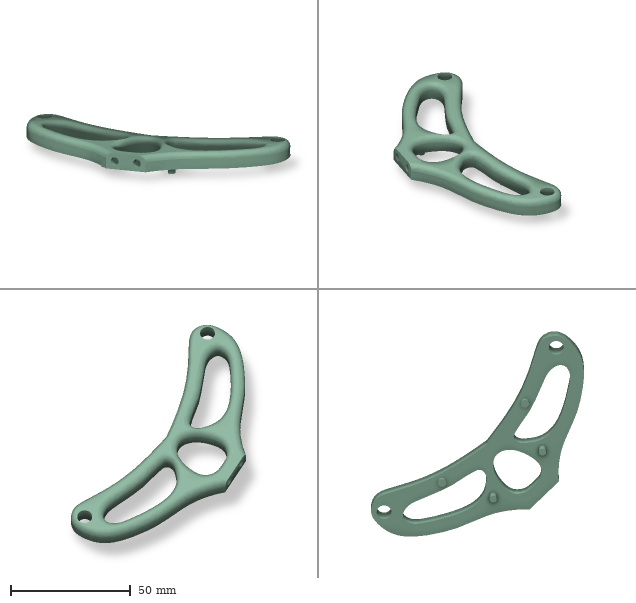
import cadquery as cq

plate_thickness = 6.9
edge_radius = 2.5
foot_half_width = 8.9

corner_hole_diameter = 6.2
corner_hole_x, corner_hole_y = 52.0, 43.0
foot_hole_diameter = 3.5
foot_hole_x = 5.0
foot_hole_depth = 3.5
short_pin_diameter, short_pin_length = 3.5, 1.7
short_pin_x, short_pin_y = 25.0, 35.3
long_pin_diameter, long_pin_length = 3.0, 3.8
long_pin_x, long_pin_y = 14.9, 15.3

stock_width, stock_depth = 138.3, 115.2

back_middle = (0, 33.4)
arm_outline = [
    (-12.5, 35.5), (-25.0, 38.7), (-35.4, 43.0), (-43.7, 47.4), (-50.8, 49.5),
    (-56.0, 46.5), (-57.6, 40.3), (-56.2, 33.0), (-49.9, 25.0), (-43.7, 20.4),
    (-37.5, 16.7), (-29.0, 13.1),
]
foot_flank = [(-20.7, 9.6), (-14.5, 5.4), (-foot_half_width, 0)]

arm_window = [
    (-45.8, 37.3), (-41.6, 37.6), (-35.4, 35.4), (-29.2, 33.0), (-22.8, 30.9),
    (-16.6, 29.7), (-12.5, 28.7), (-10.3, 27.5), (-9.9, 24.9), (-12.5, 21.7),
    (-16.6, 18.9), (-21.8, 17.9), (-31.2, 20.3), (-37.5, 23.5), (-43.7, 27.4),
    (-47.6, 31.1), (-48.4, 34.8),
]

egg_back, egg_front = (0, 27.2), (0, 6.3)
egg_side = [(-4.1, 25.6), (-6.2, 23.3), (-8.3, 18.4), (-9.0, 14.4), (-8.3, 10.0), (-6.2, 7.7), (-4.1, 6.7)]


def mirrored(points):
    """Points reflected across the YZ plane, in reverse order."""
    return [(-x, y) for x, y in reversed(points)]


def outer_plate():
    """Plate with its top rim rounded everywhere except along the flat foot."""
    left_edge = [*arm_outline, *foot_flank]
    plate = (
        cq.Workplane("XY")
        .moveTo(*back_middle)
        .spline(left_edge, includeCurrent=True)
        .lineTo(foot_half_width, 0)
        .spline([*mirrored(left_edge)[1:], back_middle], includeCurrent=True)
        .close()
        .extrude(plate_thickness)
    )
    rim = plate.faces(">Z").edges("%BSPLINE")
    return rim.fillet(edge_radius)


def stock_with_window(window):
    """Stock block with one window, whose upper edge is rounded."""
    block = cq.Workplane("XY").box(stock_width, stock_depth, plate_thickness, centered=(True, True, False))
    block = block.cut(window.extrude(plate_thickness))
    return block.faces(">Z").edges("%BSPLINE").fillet(edge_radius)


def posts(x, y, diameter, length):
    """Mirrored pair of cylinders on the bottom plane; a negative length points down."""
    centres = [(-x, y), (x, y)]
    return cq.Workplane("XY").pushPoints(centres).circle(diameter / 2).extrude(length)


def foot_holes():
    """Pair of blind holes bored into the flat foot."""
    plane = cq.Workplane("XZ", origin=(0, 0, plate_thickness / 2))
    centres = [(-foot_hole_x, 0), (foot_hole_x, 0)]
    return plane.pushPoints(centres).circle(foot_hole_diameter / 2).extrude(-foot_hole_depth)


left_window = cq.Workplane("XY").spline(arm_window, periodic=True).close()
right_window = cq.Workplane("XY").spline(mirrored(arm_window), periodic=True).close()
egg_loop = [egg_back, *egg_side, egg_front, *mirrored(egg_side)]
egg_window = cq.Workplane("XY").spline(egg_loop, periodic=True).close()

result = outer_plate()
for window in (left_window, right_window, egg_window):
    result = result.intersect(stock_with_window(window))

result = result.cut(posts(corner_hole_x, corner_hole_y, corner_hole_diameter, plate_thickness))
result = result.cut(foot_holes())
result = result.union(posts(short_pin_x, short_pin_y, short_pin_diameter, -short_pin_length))
result = result.union(posts(long_pin_x, long_pin_y, long_pin_diameter, -long_pin_length))